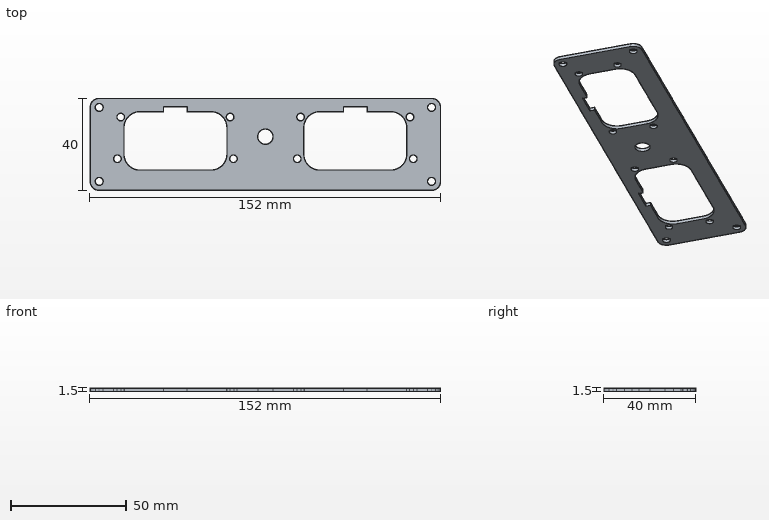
import cadquery as cq

length = 152.0
width = 40.0
thickness = 1.5
corner_radius = 4.0

mount_hole_diameter = 3.3
mount_hole_x = length / 2 - corner_radius
mount_hole_y = width / 2 - corner_radius

centre_hole_diameter = 6.5
centre_hole_y = 3.3

window_spacing = 78.0
window_length = 44.5
window_width = 25.2
window_centre_y = 1.5
window_radius = 6.8

notch_length = 10.2
notch_depth = 2.1

screw_hole_diameter = 3.2
upper_screw_spacing = 47.5
upper_screw_y = 11.9
lower_screw_spacing = 50.3
lower_screw_y = -6.2


def drill(points, diameter):
    """Through cylinders standing on the given points."""
    return cq.Workplane("XY").pushPoints(points).circle(diameter / 2).extrude(thickness)


def window_cutter(centre_x):
    """Rounded window with its rectangular notch."""
    opening = (
        cq.Workplane("XY")
        .center(centre_x, window_centre_y)
        .rect(window_length, window_width)
        .extrude(thickness)
        .edges("|Z")
        .fillet(window_radius)
    )
    notch_reach = window_width / 2 + notch_depth
    notch = (
        cq.Workplane("XY")
        .center(centre_x, window_centre_y + notch_reach / 2)
        .rect(notch_length, notch_reach)
        .extrude(thickness)
    )
    return opening.union(notch)


def screw_points(centre_x):
    """Centres of the four screw holes around one window."""
    return [
        (centre_x + side * spacing / 2, y)
        for spacing, y in ((upper_screw_spacing, upper_screw_y), (lower_screw_spacing, lower_screw_y))
        for side in (-1, 1)
    ]


plate = cq.Workplane("XY").rect(length, width).extrude(thickness).edges("|Z").fillet(corner_radius)

mount_points = [(sx * mount_hole_x, sy * mount_hole_y) for sx in (-1, 1) for sy in (-1, 1)]
plate = plate.cut(drill(mount_points, mount_hole_diameter))
plate = plate.cut(drill([(0, centre_hole_y)], centre_hole_diameter))

for window_x in (-window_spacing / 2, window_spacing / 2):
    plate = plate.cut(window_cutter(window_x))
    plate = plate.cut(drill(screw_points(window_x), screw_hole_diameter))

result = plate